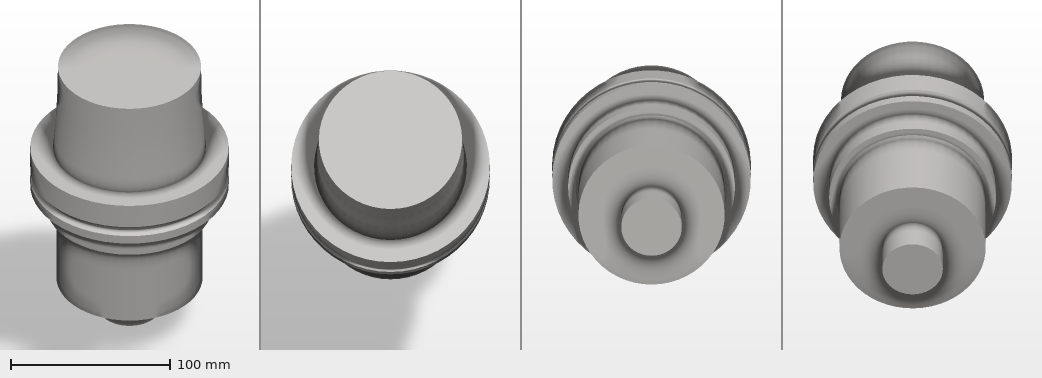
import cadquery as cq

total_height = 188.4

pin_diameter = 38.0
body_diameter = 92.0
shoulder_diameter = 105.0
flange_diameter = 125.0
groove_diameter = 117.0
taper_base_diameter = 96.0
taper_top_diameter = 90.0

body_bottom = 24.0
shoulder_bottom = 80.0
flange_bottom = 96.0
groove_lower_edge = 102.0
groove_upper_edge = 108.9
flange_top = 125.5

groove_flank_height = 1.7
neck_flare = 1.7


def cylinder(diameter, bottom, top):
    """Solid cylinder on the Z axis between two heights."""
    return cq.Workplane("XY").workplane(offset=bottom).circle(diameter / 2).extrude(top - bottom)


def body():
    """Pin, main body with a small flare under the shoulder, shoulder and flange."""
    body_radius = body_diameter / 2
    flare = (
        cq.Workplane("XZ")
        .moveTo(0, shoulder_bottom - neck_flare)
        .lineTo(body_radius, shoulder_bottom - neck_flare)
        .lineTo(body_radius + neck_flare, shoulder_bottom)
        .lineTo(0, shoulder_bottom)
        .close()
        .revolve(360, (0, 0, 0), (0, 1, 0))
    )
    return (
        cylinder(pin_diameter, 0, body_bottom)
        .union(cylinder(body_diameter, body_bottom, shoulder_bottom))
        .union(flare)
        .union(cylinder(shoulder_diameter, shoulder_bottom, flange_bottom))
        .union(cylinder(flange_diameter, flange_bottom, flange_top))
    )


def flange_groove():
    """Ring-shaped cutter for the groove, with sloping flanks and a flat floor."""
    flange_radius = flange_diameter / 2
    groove_radius = groove_diameter / 2
    return (
        cq.Workplane("XZ")
        .moveTo(flange_radius, groove_lower_edge)
        .lineTo(groove_radius, groove_lower_edge + groove_flank_height)
        .lineTo(groove_radius, groove_upper_edge - groove_flank_height)
        .lineTo(flange_radius, groove_upper_edge)
        .close()
        .revolve(360, (0, 0, 0), (0, 1, 0))
    )


def curved_taper():
    """Upper plug whose concave flank leaves the top edge parallel to the axis."""
    top_radius = taper_top_diameter / 2
    base_radius = taper_base_diameter / 2
    flank_middle = (top_radius + (base_radius - top_radius) / 4, (total_height + flange_top) / 2)
    return (
        cq.Workplane("XZ")
        .moveTo(0, flange_top)
        .lineTo(0, total_height)
        .lineTo(top_radius, total_height)
        .threePointArc(flank_middle, (base_radius, flange_top))
        .close()
        .revolve(360, (0, 0, 0), (0, 1, 0))
    )


result = body().cut(flange_groove()).union(curved_taper())